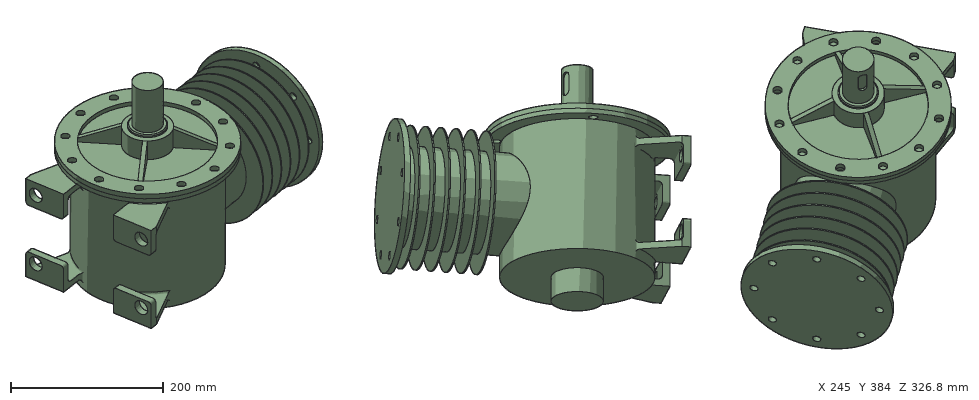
import cadquery as cq


drum_radius = 102.0
drum_height = 184.0
flange_radius = 122.5
housing_flange_thickness = 6.5
joint_z = drum_height + housing_flange_thickness
boss_radius = 68.7 / 2
stub_length = 33.8

duct_z = 95.5
duct_radius = 136.0 / 2
duct_end_y = 251.5
duct_flange_radius = drum_radius
duct_flange_thickness = 8.0
duct_bolt_count = 8
duct_bolt_circle_radius = 84.5
duct_bolt_hole_diameter = 10.8
fin_count = 6
fin_radius = 95.0
fin_thickness = 2.0
fin_pitch = 20.5
first_fin_y = 128.2

bolt_circle_radius = 108.5
bolt_hole_diameter = 12.0
cover_bolt_count = 12
housing_bolt_count = 4

cover_thickness = 7.3
cover_top_z = joint_z + cover_thickness
recess_radius = 92.0
recess_depth = 6.0
boss_top_z = 221.5
rib_count = 4
rib_thickness = 6.5
turned_angle = 30.0

shaft_radius = 20.7
shaft_top_z = 293.0
collar_radius = 26.5
collar_height = 4.0
collar_chamfer = 1.5
keyway_width = 12.0
keyway_depth = 3.0
keyway_bottom_z = 252.2
keyway_length = 32.5
keyway_angle = turned_angle + 90

foot_front_y = -132.5
foot_inner_x = 40.5
foot_outer_x = 101.7
foot_height = 41.0
foot_top_z = 170.5
foot_plate_thickness = 9.2
foot_pad_thickness = 10.5
foot_side_length = 12.0
foot_taper_x = 13.5
foot_taper_y = 35.5
foot_joint_radius = 4.0
foot_corner_radius = 5.0
foot_inside_radius = 6.0
foot_hole_x = 85.5
upper_foot_hole_drop = 20.5
lower_foot_hole_rise = 27.0
foot_hole_diameter = 20.7
edge_margin = 0.5


def cylinder_z(radius, bottom_z, top_z):
    return cq.Workplane("XY").workplane(offset=bottom_z).circle(radius).extrude(top_z - bottom_z)


def cylinder_y(radius, start_y, end_y):
    return cq.Workplane("XZ", origin=(0, start_y, duct_z)).circle(radius).extrude(start_y - end_y)


def flange_holes(count, bottom_z, top_z):
    return (
        cq.Workplane("XY")
        .workplane(offset=bottom_z)
        .polarArray(bolt_circle_radius, 0, 360, count)
        .circle(bolt_hole_diameter / 2)
        .extrude(top_z - bottom_z)
    )


def make_duct():
    duct = cylinder_y(duct_radius, 0, duct_end_y)
    flange_start_y = duct_end_y - duct_flange_thickness
    flange = cylinder_y(duct_flange_radius, flange_start_y, duct_end_y)
    bolt_holes = (
        cq.Workplane("XZ", origin=(0, flange_start_y, duct_z))
        .polarArray(duct_bolt_circle_radius, 0, 360, duct_bolt_count)
        .circle(duct_bolt_hole_diameter / 2)
        .extrude(-duct_flange_thickness)
    )
    duct = duct.union(flange.cut(bolt_holes))
    for index in range(fin_count):
        fin_y = first_fin_y + index * fin_pitch
        duct = duct.union(cylinder_y(fin_radius, fin_y - fin_thickness / 2, fin_y + fin_thickness / 2))
    return duct


def make_upper_right_foot(drum, hole_drop):
    plate_bottom_z = foot_top_z - foot_plate_thickness
    pad_back_y = foot_front_y + foot_pad_thickness
    side_end_y = foot_front_y + foot_side_length
    taper_run = 2
    plate_back_y = side_end_y + taper_run * foot_taper_y
    plate_outline = [
        (foot_inner_x, foot_front_y),
        (foot_outer_x, foot_front_y),
        (foot_outer_x, side_end_y),
        (foot_outer_x - taper_run * foot_taper_x, plate_back_y),
        (foot_inner_x, plate_back_y),
    ]
    plate = (
        cq.Workplane("XY")
        .workplane(offset=plate_bottom_z)
        .polyline(plate_outline)
        .close()
        .extrude(foot_plate_thickness)
    )
    pad = (
        cq.Workplane("XY", origin=(0, 0, foot_top_z - foot_height))
        .moveTo(foot_inner_x, foot_front_y)
        .rect(foot_outer_x - foot_inner_x, foot_pad_thickness, centered=False)
        .extrude(foot_height)
        .edges("|Y and <Z")
        .fillet(foot_corner_radius)
    )
    inside_corner = cq.selectors.NearestToPointSelector(
        ((foot_inner_x + foot_outer_x) / 2, pad_back_y, plate_bottom_z)
    )
    foot = plate.union(pad).edges(inside_corner).fillet(foot_inside_radius)
    hole = (
        cq.Workplane("XZ", origin=(foot_hole_x, foot_front_y, foot_top_z - hole_drop))
        .circle(foot_hole_diameter / 2)
        .extrude(-foot_pad_thickness)
    )
    foot = foot.cut(hole).union(drum)
    joint = cq.selectors.BoxSelector(
        (foot_inner_x - edge_margin, -drum_radius, plate_bottom_z - edge_margin),
        (foot_outer_x - foot_taper_x, plate_back_y, foot_top_z + edge_margin),
    )
    return foot.edges(joint).fillet(foot_joint_radius).cut(drum)


def make_feet(drum):
    middle = (0, 0, drum_height / 2)
    upper_right = make_upper_right_foot(drum, upper_foot_hole_drop)
    lower_right = make_upper_right_foot(drum, lower_foot_hole_rise).mirror("XY", middle)
    feet = []
    for right_foot in (upper_right, lower_right):
        feet.append(right_foot)
        feet.append(right_foot.mirror("YZ"))
    return feet


def make_housing():
    flange = cylinder_z(flange_radius, drum_height, joint_z)
    flange = flange.cut(flange_holes(housing_bolt_count, drum_height, joint_z))
    stub = cylinder_z(boss_radius, -stub_length, 0)
    drum = cylinder_z(drum_radius, 0, drum_height)
    housing = drum.union(make_duct()).union(flange).union(stub)
    for foot in make_feet(drum):
        housing = housing.union(foot)
    return housing


def make_cover():
    floor_z = cover_top_z - recess_depth
    plate = cylinder_z(flange_radius, joint_z, cover_top_z)
    plate = plate.cut(cylinder_z(recess_radius, floor_z, cover_top_z))
    plate = plate.cut(flange_holes(cover_bolt_count, joint_z, cover_top_z))
    cover = plate.union(cylinder_z(boss_radius, joint_z, boss_top_z))
    rib_profile = [
        (0, floor_z),
        (recess_radius, floor_z),
        (recess_radius, cover_top_z),
        (boss_radius, boss_top_z),
        (0, boss_top_z),
    ]
    rib = cq.Workplane("XZ").polyline(rib_profile).close().extrude(rib_thickness / 2, both=True)
    for index in range(rib_count):
        cover = cover.union(rib.rotate((0, 0, 0), (0, 0, 1), turned_angle + index * 360 / rib_count))
    return cover.cut(cylinder_z(collar_radius, joint_z, boss_top_z))


def make_shaft():
    collar_top_z = boss_top_z + collar_height
    collar = cylinder_z(collar_radius, joint_z, collar_top_z).faces(">Z").chamfer(collar_chamfer)
    shaft = collar.union(cylinder_z(shaft_radius, joint_z, shaft_top_z))
    keyway_middle_z = keyway_bottom_z + keyway_length / 2
    keyway = (
        cq.Workplane("YZ", origin=(shaft_radius - keyway_depth, 0, keyway_middle_z))
        .slot2D(keyway_length, keyway_width, 90)
        .extrude(shaft_radius)
    )
    return shaft.cut(keyway.rotate((0, 0, 0), (0, 0, 1), keyway_angle))


housing = make_housing()
cover = make_cover()
shaft = make_shaft()

result = cq.Compound.makeCompound([housing.solids().val(), cover.solids().val(), shaft.solids().val()])